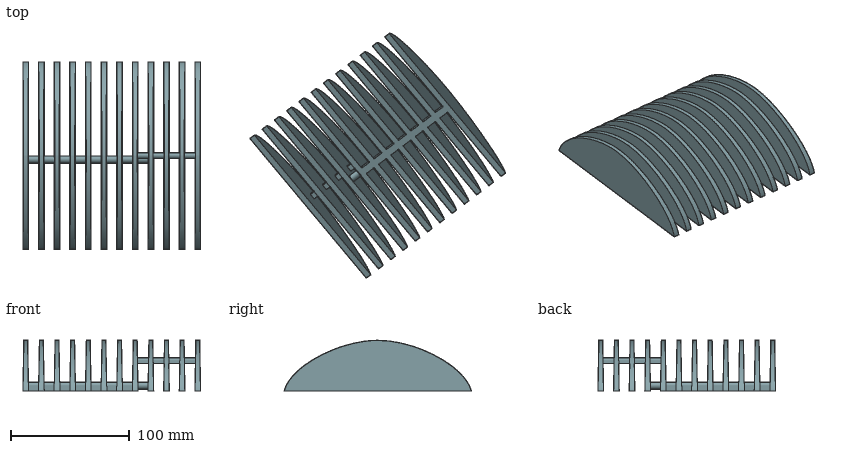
import cadquery as cq
import math

FIN_COUNT = 12
OVERALL_LENGTH = 149.9
FIN_HALF_WIDTH = 79.015
FIN_HEIGHT = 43.0
FIN_BASE_THICKNESS = 4.9
FIN_DRAFT_ANGLE = 1.0
FIN_PITCH = (OVERALL_LENGTH - FIN_BASE_THICKNESS) / (FIN_COUNT - 1)
FIRST_FIN_X = -(OVERALL_LENGTH - FIN_BASE_THICKNESS) / 2

CROWN_CONTROL = (31.4, FIN_HEIGHT)
SHOULDER_CONTROL = (73.4, 21.9)

LOWER_BAR_RADIUS = 3.1
LOWER_BAR_Y = -3.3
LOWER_BAR_Z = 4.6
LOWER_BAR_FIRST_FIN = 0
LOWER_BAR_LAST_FIN = 7
LOWER_ROD_LAST_FIN = 8

UPPER_BAR_RADIUS = 2.5
UPPER_BAR_Y = 0.0
UPPER_BAR_Z = 25.8
UPPER_BAR_DEPTH = 2.5
UPPER_BAR_FIRST_FIN = 7
UPPER_BAR_LAST_FIN = 11


def fin_x(index):
    """X of the mid-plane of a fin."""
    return FIRST_FIN_X + index * FIN_PITCH


def make_fin(index):
    """Arched plate trimmed to a section that tapers from base to crown."""
    x = fin_x(index)
    half_base = FIN_BASE_THICKNESS / 2
    half_top = half_base - FIN_HEIGHT * math.tan(math.radians(FIN_DRAFT_ANGLE))

    arch = (
        cq.Workplane("YZ", origin=(x - half_base, 0, 0))
        .moveTo(-FIN_HALF_WIDTH, 0)
        .lineTo(FIN_HALF_WIDTH, 0)
        .bezier([(FIN_HALF_WIDTH, 0), SHOULDER_CONTROL, CROWN_CONTROL, (0, FIN_HEIGHT)])
        .bezier([
            (0, FIN_HEIGHT),
            (-CROWN_CONTROL[0], CROWN_CONTROL[1]),
            (-SHOULDER_CONTROL[0], SHOULDER_CONTROL[1]),
            (-FIN_HALF_WIDTH, 0),
        ])
        .close()
        .extrude(FIN_BASE_THICKNESS)
    )
    taper = (
        cq.Workplane("XZ", origin=(x, 0, 0))
        .polyline([
            (-half_base, 0),
            (half_base, 0),
            (half_top, FIN_HEIGHT),
            (-half_top, FIN_HEIGHT),
        ])
        .close()
        .extrude(FIN_HALF_WIDTH, both=True)
    )
    return arch.intersect(taper)


def make_round_topped_bar(first_fin, last_fin, y, z, radius, depth):
    """Bar along X between two fin mid-planes: half-round top, flat sides and underside."""
    start = fin_x(first_fin)
    return (
        cq.Workplane("YZ", origin=(start, y, z))
        .moveTo(-radius, -depth)
        .lineTo(radius, -depth)
        .lineTo(radius, 0)
        .threePointArc((0, radius), (-radius, 0))
        .close()
        .extrude(fin_x(last_fin) - start)
    )


def make_lower_rod():
    """Round rod bridging the bay beyond the end of the lower bar."""
    start = fin_x(LOWER_BAR_LAST_FIN)
    return (
        cq.Workplane("YZ", origin=(start, LOWER_BAR_Y, LOWER_BAR_Z))
        .circle(LOWER_BAR_RADIUS)
        .extrude(fin_x(LOWER_ROD_LAST_FIN) - start)
    )


lower_bar = make_round_topped_bar(
    LOWER_BAR_FIRST_FIN, LOWER_BAR_LAST_FIN,
    LOWER_BAR_Y, LOWER_BAR_Z, LOWER_BAR_RADIUS, LOWER_BAR_Z,
)
upper_bar = make_round_topped_bar(
    UPPER_BAR_FIRST_FIN, UPPER_BAR_LAST_FIN,
    UPPER_BAR_Y, UPPER_BAR_Z, UPPER_BAR_RADIUS, UPPER_BAR_DEPTH,
)

result = lower_bar.union(make_lower_rod()).union(upper_bar)
for fin_index in range(FIN_COUNT):
    result = result.union(make_fin(fin_index))